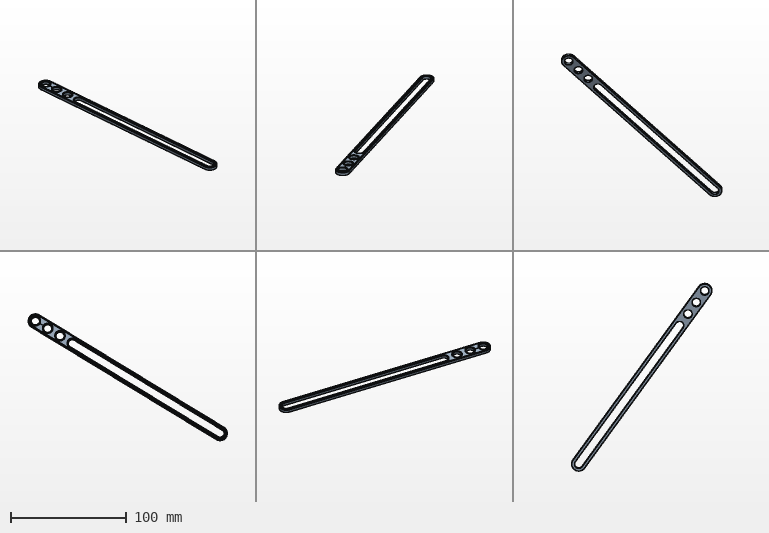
import cadquery as cq

length = 200
square_count = 16
width = length / square_count
thickness = width / 4

hole_diameter = 7.0
hole_count = 3
edge_chamfer = 0.3

ring_diameter = 9.2
recess_depth = 0.2
rib_width = 0.1

rim_width = (ring_diameter - hole_diameter) / 2
end_x = length / 2 - width / 2
hole_xs = [-end_x + i * width for i in range(hole_count)]
slot_start_x = -end_x + hole_count * width
recess_floor = thickness - recess_depth


def round_ended_bar(start_x, stop_x, bar_width, bottom, height):
    """Solid with semicircular ends centred on start_x and stop_x."""
    middle = cq.Workplane("XY", origin=((start_x + stop_x) / 2, 0, bottom))
    return middle.slot2D(stop_x - start_x + bar_width, bar_width).extrude(height)


def round_post(x, diameter, bottom, height):
    return cq.Workplane("XY", origin=(x, 0, bottom)).circle(diameter / 2).extrude(height)


def make_blank():
    """Bar with its holes and slot, chamfered along every top and bottom edge."""
    blank = round_ended_bar(-end_x, end_x, width, 0, thickness)
    for x in hole_xs:
        blank = blank.cut(round_post(x, hole_diameter, 0, thickness))
    blank = blank.cut(round_ended_bar(slot_start_x, end_x, hole_diameter, 0, thickness))
    return blank.faces("|Z").edges().chamfer(edge_chamfer)


def make_recess():
    """Pocket inside the outer rim, leaving the rings and the rib standing."""
    recess = round_ended_bar(-end_x, end_x, width - 2 * rim_width, recess_floor, recess_depth)
    for x in hole_xs:
        recess = recess.cut(round_post(x, ring_diameter, recess_floor, recess_depth))
    recess = recess.cut(round_ended_bar(slot_start_x, end_x, ring_diameter, recess_floor, recess_depth))
    rib = cq.Workplane("XY", origin=((hole_xs[0] + hole_xs[1]) / 2, 0, recess_floor))
    return recess.cut(rib.rect(width, rib_width).extrude(recess_depth))


result = make_blank().cut(make_recess())